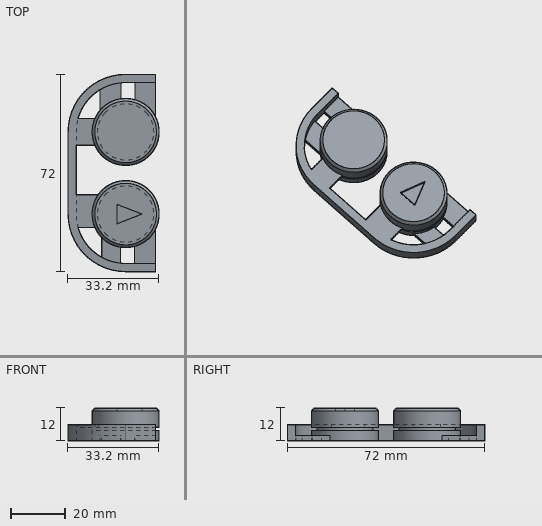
import cadquery as cq

frame_length = 72.0
frame_height = 6.0
frame_wall = 3.0
frame_outer_radius = 21.0
frame_inner_radius = frame_outer_radius - frame_wall
frame_end_x = 10.95

button_y = frame_length / 2 - frame_outer_radius
button_diameter = 24.5
neck_diameter = 20.5
base_height = 3.9
cap_bottom = 5.0
button_top = 12.0
cap_chamfer = 1.0

back_arm_y = (10.1, 19.9)
front_arm_y = (-19.9, -7.85)

strip_height = 1.95
back_strips_x = ((-9.4, -1.65), (3.4, frame_end_x))
front_strips_x = ((-8.8, -1.9), (3.2, frame_end_x))

triangle_base_x = -3.2
triangle_tip_x = 6.0
triangle_width = 7.05
triangle_depth = 1.0


def rounded_outline(radius, height):
    """Block with quarter-round corners of the given radius about the button axes."""
    half_width = button_y + radius
    return (
        cq.Workplane("XY")
        .moveTo(frame_end_x, half_width)
        .lineTo(0, half_width)
        .radiusArc((-radius, button_y), -radius)
        .lineTo(-radius, -button_y)
        .radiusArc((0, -half_width), -radius)
        .lineTo(frame_end_x, -half_width)
        .close()
        .extrude(height)
    )


def block(x_range, y_range, z_range):
    """Box spanning the given ranges."""
    size = [high - low for low, high in (x_range, y_range, z_range)]
    corner = (x_range[0], y_range[0], z_range[0])
    return cq.Workplane("XY").box(*size, centered=False).translate(corner)


def disc(diameter, bottom, top, y):
    """Upright cylinder on the button axis at the given Y."""
    return cq.Workplane("XY", origin=(0, y, bottom)).circle(diameter / 2).extrude(top - bottom)


def button(y):
    base = disc(button_diameter, 0, base_height, y)
    neck = disc(neck_diameter, base_height, cap_bottom, y)
    cap = disc(button_diameter, cap_bottom, button_top, y).faces(">Z").chamfer(cap_chamfer)
    return base.union(neck).union(cap)


def arm(y_range):
    """Arm from the long wall to the button axis, where it is buried in the cap."""
    return block((-frame_outer_radius, 0), y_range, (cap_bottom, frame_height))


def strip(x_range, side):
    """Strip from the button axis out to the end wall on the given side (+1 or -1 in Y)."""
    y_range = sorted((side * button_y, side * frame_length / 2))
    return block(x_range, y_range, (0, strip_height))


outline = rounded_outline(frame_outer_radius, frame_height)
frame = outline.cut(rounded_outline(frame_inner_radius, frame_height))

connectors = [arm(back_arm_y), arm(front_arm_y)]
connectors += [strip(x_range, 1) for x_range in back_strips_x]
connectors += [strip(x_range, -1) for x_range in front_strips_x]

result = frame
for connector in connectors:
    result = result.union(connector.intersect(outline))

for y in (button_y, -button_y):
    result = result.union(button(y))

triangle = (
    cq.Workplane("XY", origin=(0, -button_y, button_top - triangle_depth))
    .moveTo(triangle_base_x, triangle_width / 2)
    .lineTo(triangle_tip_x, 0)
    .lineTo(triangle_base_x, -triangle_width / 2)
    .close()
    .extrude(triangle_depth)
)
result = result.cut(triangle)